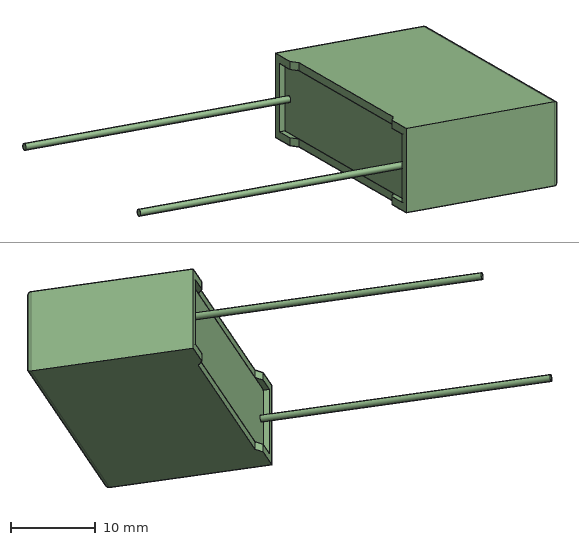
import cadquery as cq

total_length = 55.5
case_width = 31.5
case_height = 10.5
case_depth = 20.55
wall = 1.0
back_edge_radius = 0.55

foot_width = 3.5
relief_slope_width = 0.95
relief_depth = 0.7

lead_diameter = 0.85
lead_pitch = 27.55

lead_tip_y = -total_length / 2
back_y = total_length / 2
foot_y = back_y - case_depth
fill_face_y = foot_y + relief_depth
cavity_back_y = back_y - wall


def block_along_y(width, height, start_y, end_y):
    """Block centred on X and Z that runs from start_y to end_y."""
    length = end_y - start_y
    return cq.Workplane("XY").box(width, length, height).translate((0, (start_y + end_y) / 2, 0))


def make_fill():
    """Sealing compound that fills the cavity up to the floor of the reliefs."""
    return block_along_y(case_width - 2 * wall, case_height - 2 * wall, fill_face_y, cavity_back_y)


def make_relief():
    """Trapezoid cut through both long walls, leaving a foot at each end."""
    open_half_width = case_width / 2 - foot_width
    floor_half_width = open_half_width - relief_slope_width
    return (
        cq.Workplane("XY")
        .moveTo(-open_half_width, foot_y)
        .lineTo(open_half_width, foot_y)
        .lineTo(floor_half_width, fill_face_y)
        .lineTo(-floor_half_width, fill_face_y)
        .close()
        .extrude(case_height / 2, both=True)
    )


def make_case():
    """Box open towards -Y, with rounded edges around its closed end."""
    outer = block_along_y(case_width, case_height, foot_y, back_y)
    outer = outer.faces(">Y").edges().fillet(back_edge_radius)
    cavity = block_along_y(case_width - 2 * wall, case_height - 2 * wall, foot_y, cavity_back_y)
    return outer.cut(cavity).cut(make_relief())


def make_lead(x):
    """Straight round wire that stands on the face of the sealing compound."""
    lead_length = fill_face_y - lead_tip_y
    lead = cq.Workplane("XZ").circle(lead_diameter / 2).extrude(-lead_length)
    return lead.translate((x, lead_tip_y, 0))


case = make_case()
fill = make_fill()
leads = [make_lead(side * lead_pitch / 2) for side in (-1, 1)]

result = cq.Compound.makeCompound([case.val(), fill.val(), *[lead.val() for lead in leads]])